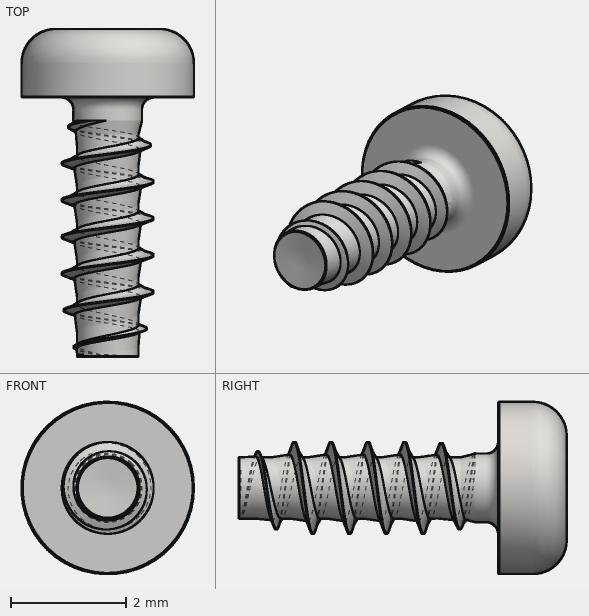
import cadquery as cq
import math

total_length = 5.7
head_radius = 1.5
head_height = 1.195
head_round = 0.6
head_edge_chamfer = 0.02

shank_length = total_length - head_height
neck_radius = 0.6
neck_fillet = 0.2
neck_length = 0.4
neck_taper_length = 0.245
core_radius = 0.535
tip_chamfer = 0.015
tip_dish_depth = 0.045

pitch = 0.64
crest_radius = 0.8
crest_width = 0.015
knee_radius = 0.67
knee_offset = 0.045
tip_flank_radius = 0.58
tip_flank_offset = 0.085
foot_radius = 0.525
head_foot_offset = 0.13
taper_foot_offset = 0.46
buried_radius = 0.455

thread_start = 0.18
full_start = 1.055
full_end = 3.56
fade_end = 4.59
thread_end = 4.74
start_height_factor = 0.35
end_height_factor = 0.01
crest_distance_at_plus_x = 0.82
thread_segments = 14
steps_per_segment = 12

section = [
    (head_foot_offset, foot_radius),
    (knee_offset, knee_radius),
    (crest_width / 2, crest_radius),
    (-crest_width / 2, crest_radius),
    (-tip_flank_offset, tip_flank_radius),
    (-taper_foot_offset, foot_radius),
    (-taper_foot_offset, buried_radius),
    (head_foot_offset, buried_radius),
]


def height_factor(distance):
    """Fraction of the full thread height at a distance below the head."""
    if distance < full_start:
        done = (distance - thread_start) / (full_start - thread_start)
        return start_height_factor + (1 - start_height_factor) * done
    if distance > full_end:
        done = min(1, (distance - full_end) / (fade_end - full_end))
        return 1 + (end_height_factor - 1) * done
    return 1


def thread_point(corner, distance):
    """Place one section corner on its helix; the ridge also narrows along the run-out."""
    offset, radius = corner
    factor = height_factor(distance)
    if radius > foot_radius:
        radius = foot_radius + (radius - foot_radius) * factor
    if distance > full_end and offset != -taper_foot_offset:
        offset *= factor
    angle = 2 * math.pi * (distance - crest_distance_at_plus_x) / pitch
    return cq.Vector(radius * math.cos(angle), offset - distance, radius * math.sin(angle))


def helix_edge(corner, start, end):
    """Trace one section corner along its helix between two distances."""
    step = (end - start) / steps_per_segment
    points = [thread_point(corner, start + i * step) for i in range(steps_per_segment + 1)]
    return cq.Edge.makeSpline(points)


def section_cap(distance):
    """Planar end face of the thread."""
    outline = cq.Wire.makePolygon([thread_point(corner, distance) for corner in section], close=True)
    return cq.Face.makeFromWires(outline)


def make_thread():
    """Join ruled faces along the helix, segment by segment, and close both ends."""
    segment_length = (thread_end - thread_start) / thread_segments
    faces = [section_cap(thread_start), section_cap(thread_end)]
    for segment in range(thread_segments):
        start = thread_start + segment * segment_length
        helices = [helix_edge(corner, start, start + segment_length) for corner in section]
        for i, helix in enumerate(helices):
            faces.append(cq.Face.makeRuledSurface(helices[i - 1], helix))
    thread = cq.Solid.makeSolid(cq.Shell.makeShell(faces))
    return cq.Workplane(obj=thread.fix())


def make_body():
    """Revolve the head, neck and core about the Y axis."""
    bend = math.sqrt(0.5)
    return (
        cq.Workplane("XY")
        .moveTo(0, head_height)
        .lineTo(head_radius - head_round, head_height)
        .threePointArc(
            (head_radius - head_round * (1 - bend), head_height - head_round * (1 - bend)),
            (head_radius, head_height - head_round),
        )
        .lineTo(head_radius, head_edge_chamfer)
        .lineTo(head_radius - head_edge_chamfer, 0)
        .lineTo(neck_radius + neck_fillet, 0)
        .threePointArc(
            (neck_radius + neck_fillet * (1 - bend), -neck_fillet * (1 - bend)),
            (neck_radius, -neck_fillet),
        )
        .lineTo(neck_radius, -neck_length)
        .lineTo(core_radius, -neck_length - neck_taper_length)
        .lineTo(core_radius, -shank_length + tip_chamfer)
        .lineTo(core_radius - tip_chamfer, -shank_length)
        .lineTo(0, -shank_length + tip_dish_depth)
        .close()
        .revolve(360, (0, 0, 0), (0, 1, 0))
    )


envelope_length = shank_length - neck_length - max(tip_chamfer, tip_dish_depth)
thread_envelope = (
    cq.Workplane("XZ", origin=(0, -neck_length, 0))
    .circle(head_radius)
    .extrude(envelope_length)
)
result = make_body().union(make_thread().intersect(thread_envelope))